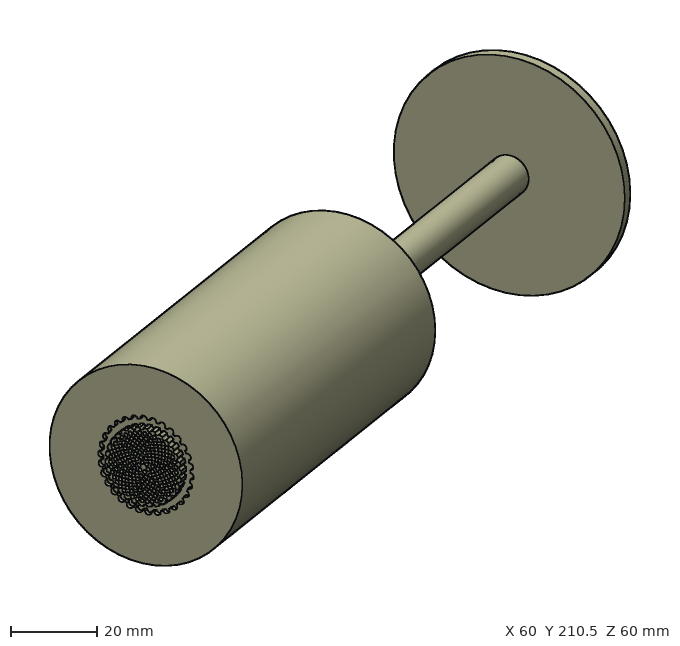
import cadquery as cq

overall_length = 210.5
front_y = -overall_length / 2
back_y = overall_length / 2
boss_height = 1.3
lamp_length = 100.0
lamp_front_y = front_y + boss_height
lamp_back_y = lamp_front_y + lamp_length

lamp_radius = 25.0

recess_radius = 11.5
recess_depth = 1.3
recess_flute_radius = 0.8
recess_flute_count = 30
recess_floor_y = lamp_front_y + recess_depth

boss_radius = 10.0
boss_flute_radius = 0.53
boss_flute_count = 30
hole_radius = 0.46
hole_ring_pitch = 1.22
hole_ring_count = 7
holes_per_ring_step = 6
pattern_start_angle = 45.0

plate_diameter = 60.0
plate_radius = plate_diameter / 2
plate_thickness = 3.0
hub_radius = 10.5
hub_length = 18.1
hub_chamfer = 0.8
plate_back_y = back_y - hub_length
plate_front_y = plate_back_y - plate_thickness

rod_radius = 5.0


def plane_at(y):
    """Workplane across the Y axis; positive extrusions run toward -Y."""
    return cq.Workplane("XZ", origin=(0, y, 0))


def cylinder(radius, start_y, end_y):
    """Cylinder on the Y axis between two positions."""
    return plane_at(end_y).circle(radius).extrude(end_y - start_y)


def ring_of_cylinders(ring_radius, count, radius, start_y, end_y):
    """Equally spaced cylinders, parallel to Y, around the axis."""
    return (
        plane_at(end_y)
        .polarArray(ring_radius, pattern_start_angle, 360, count)
        .circle(radius)
        .extrude(end_y - start_y)
    )


def make_boss():
    """Boss with a fluted rim and concentric rings of small holes down to the recess floor."""
    boss = cylinder(boss_radius, front_y, recess_floor_y)
    boss = boss.cut(
        ring_of_cylinders(boss_radius, boss_flute_count, boss_flute_radius, front_y, recess_floor_y)
    )
    for ring in range(1, hole_ring_count + 1):
        ring_radius = ring * hole_ring_pitch
        hole_count = ring * holes_per_ring_step
        boss = boss.cut(
            ring_of_cylinders(ring_radius, hole_count, hole_radius, front_y, recess_floor_y)
        )
    return boss


def make_lamp():
    """Lamp cylinder with the perforated boss standing in its fluted recess."""
    lamp = cylinder(lamp_radius, lamp_front_y, lamp_back_y)
    lamp = lamp.cut(cylinder(recess_radius, lamp_front_y, recess_floor_y))
    lamp = lamp.cut(
        ring_of_cylinders(
            recess_radius, recess_flute_count, recess_flute_radius, lamp_front_y, recess_floor_y
        )
    )
    return lamp.union(make_boss())


def make_rod():
    """Plain rod between the lamp and the canopy."""
    return cylinder(rod_radius, lamp_back_y, plate_front_y)


def make_canopy():
    """Round plate with a hub chamfered at its far end."""
    hub = cylinder(hub_radius, plate_back_y, back_y).faces(">Y").chamfer(hub_chamfer)
    return cylinder(plate_radius, plate_front_y, plate_back_y).union(hub)


lamp = make_lamp()
rod = make_rod()
canopy = make_canopy()

result = cq.Compound.makeCompound([lamp.val(), rod.val(), canopy.val()])